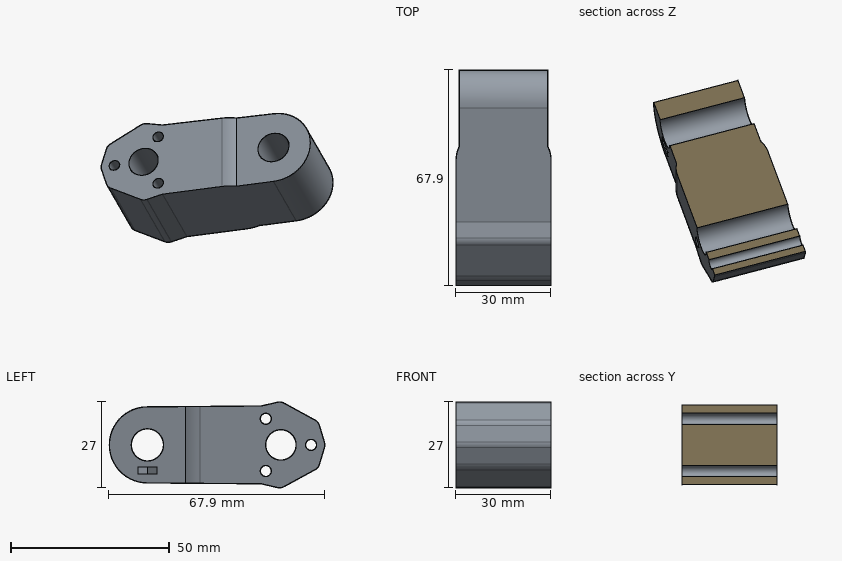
import cadquery as cq
import math

overall_length = 67.8
body_width = 30.0
round_end_width = 27.9
round_end_radius = 12.0
bore_spacing = 42.0
round_end_bore = 10.05
swivel_bore = 9.5

pin_count = 3
pin_hole = 3.4
pin_circle_radius = 9.5

tip_reach = 14.0
shoulder_reach, shoulder_height = 11.8, 7.25
crown_reach, crown_height = 0.0, 13.7
neck_reach, neck_height = -6.2, 12.3
head_fillet = 3.0

wide_part_end_y = 5.4
step_radius = 10.05

nut_across_flats = 6.05
nut_slot_height = 2.3
nut_slot_z = -8.1

round_end_y = overall_length / 2 - round_end_radius
swivel_y = round_end_y - bore_spacing
half_width = body_width / 2
half_round_end_width = round_end_width / 2


def side_profile():
    """Solid with the side outline, extruded over the full width."""
    tip = (swivel_y - tip_reach, 0)
    shoulder = (swivel_y - shoulder_reach, shoulder_height)
    crown = (swivel_y - crown_reach, crown_height)
    neck = (swivel_y - neck_reach, neck_height)

    def below(point):
        return (point[0], -point[1])

    upper_corners = [neck, crown, shoulder]
    lower_corners = [below(shoulder), below(crown), below(neck)]
    solid = (
        cq.Workplane("YZ")
        .moveTo(round_end_y, -round_end_radius)
        .threePointArc((overall_length / 2, 0), (round_end_y, round_end_radius))
        .polyline(upper_corners + [tip] + lower_corners, includeCurrent=True)
        .close()
        .extrude(half_width, both=True)
    )
    for y, z in (crown, shoulder, tip, below(shoulder), below(crown)):
        corner = cq.selectors.NearestToPointSelector((0, y, z))
        solid = solid.edges("|X").edges(corner).fillet(head_fillet)
    return solid


def plan_envelope():
    """Prism with the top outline: wide at -Y, stepping in through arcs."""
    step = half_width - half_round_end_width
    step_length = math.sqrt(step_radius**2 - (step_radius - step) ** 2)
    step_end_y = wide_part_end_y + step_length
    mid_angle = math.asin(step_length / step_radius) / 2
    arc_mid_x = half_width - step_radius * (1 - math.cos(mid_angle))
    arc_mid_y = wide_part_end_y + step_radius * math.sin(mid_angle)
    tip_side_y = -overall_length
    round_side_y = overall_length
    return (
        cq.Workplane("XY")
        .moveTo(-half_width, tip_side_y)
        .lineTo(half_width, tip_side_y)
        .lineTo(half_width, wide_part_end_y)
        .threePointArc((arc_mid_x, arc_mid_y), (half_round_end_width, step_end_y))
        .lineTo(half_round_end_width, round_side_y)
        .lineTo(-half_round_end_width, round_side_y)
        .lineTo(-half_round_end_width, step_end_y)
        .threePointArc((-arc_mid_x, arc_mid_y), (-half_width, wide_part_end_y))
        .close()
        .extrude(overall_length / 2, both=True)
    )


def cross_hole(y, z, diameter):
    """Cylinder along X through the whole width."""
    return cq.Workplane("YZ").center(y, z).circle(diameter / 2).extrude(half_width, both=True)


def nut_slot():
    """Slot open at -X, ending in the pointed half of a hexagonal nut."""
    across_corners = nut_across_flats / math.cos(math.radians(30))
    mouth_x = -half_round_end_width
    point_x = mouth_x + across_corners
    flats_end_x = point_x - across_corners / 4
    half_flats = nut_across_flats / 2
    return (
        cq.Workplane("XY", origin=(0, round_end_y, nut_slot_z))
        .moveTo(mouth_x, -half_flats)
        .lineTo(flats_end_x, -half_flats)
        .lineTo(point_x, 0)
        .lineTo(flats_end_x, half_flats)
        .lineTo(mouth_x, half_flats)
        .close()
        .extrude(nut_slot_height / 2, both=True)
    )


result = side_profile().intersect(plan_envelope())
result = result.cut(cross_hole(round_end_y, 0, round_end_bore))
result = result.cut(cross_hole(swivel_y, 0, swivel_bore))

for index in range(pin_count):
    angle = math.pi + index * 2 * math.pi / pin_count
    pin_y = swivel_y + pin_circle_radius * math.cos(angle)
    pin_z = pin_circle_radius * math.sin(angle)
    result = result.cut(cross_hole(pin_y, pin_z, pin_hole))

result = result.cut(nut_slot())